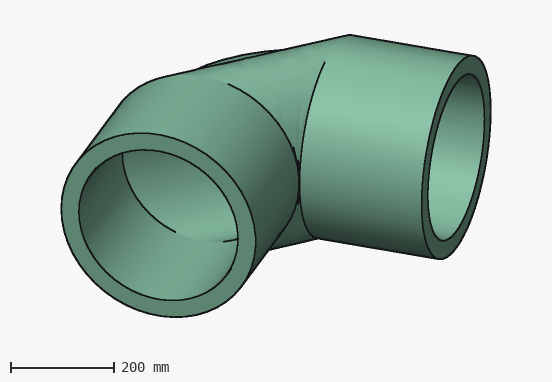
import cadquery as cq

longest_side = 651.0
socket_length = 250.5
outer_diameter = 400.0
wall = 36.5
bulge_radius = 163.5

outer_radius = outer_diameter / 2
bore_radius = outer_radius - wall

bend_radius = longest_side - socket_length - outer_radius

front_plane = cq.Plane(origin=(-bend_radius, 0, 0), xDir=(-1, 0, 0), normal=(0, 1, 0))
side_plane = cq.Plane(origin=(0, bend_radius, 0), xDir=(0, 1, 0), normal=(1, 0, 0))


def front_socket(radius):
    """Straight cylinder towards -Y."""
    return cq.Workplane(front_plane).circle(radius).extrude(-socket_length)


def side_socket(radius):
    """Straight cylinder towards +X."""
    return cq.Workplane(side_plane).circle(radius).extrude(socket_length)


def oblique_link(radius):
    """Skewed cylinder with straight rulings between the two socket circles."""
    circles = [
        cq.Workplane(plane).circle(radius).wires().val()
        for plane in (front_plane, side_plane)
    ]
    return cq.Workplane("XY").add(cq.Solid.makeLoft(circles, True))


def elbow(radius):
    """Both sockets and the oblique link at one radius."""
    return front_socket(radius).union(oblique_link(radius)).union(side_socket(radius))


def bulge():
    """Quarter torus around the inner corner, swelling out of the back of the link."""
    return (
        cq.Workplane("XZ")
        .center(-bend_radius, 0)
        .circle(bulge_radius)
        .revolve(90, (bend_radius, 0), (bend_radius, -1))
    )


result = elbow(outer_radius).union(bulge()).cut(elbow(bore_radius))